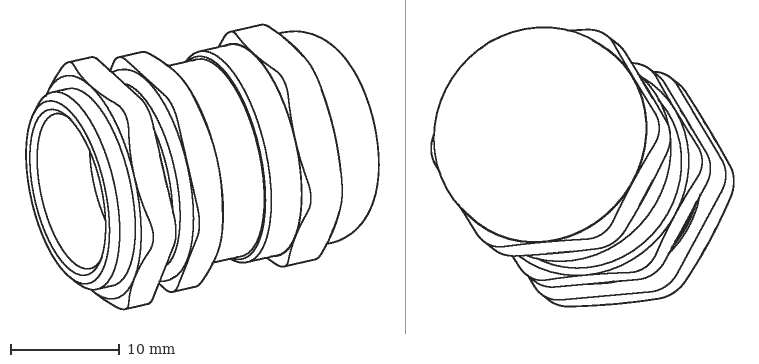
import cadquery as cq
import math

TOTAL_LENGTH = 28.56
FRONT_Y = -TOTAL_LENGTH / 2

THREAD_DIAMETER = 18.6
UNDERCUT_DIAMETER = 17.2
SEAL_DIAMETER = 19.9
BODY_DIAMETER = 18.6
CAP_DIAMETER = 19.9
BORE_DIAMETER = 14.6

LOCKNUT_START = 2.3
UNDERCUT_START = 6.5
SEAL_START = 7.0
BODY_HEX_START = 8.0
CAP_START = 15.56
CAP_HEX_START = 19.07
BORE_DEPTH = 5.9

LOCKNUT_ACROSS_FLATS = 21.0
LOCKNUT_THICKNESS = 3.0
WRENCH_ACROSS_FLATS = 20.0
BODY_HEX_THICKNESS = 3.0
CAP_HEX_THICKNESS = 4.0
HEX_CORNER_RADIUS = 3.0
NUT_BEVEL_ANGLE = 30.0
CAP_BEVEL_ANGLE = 20.0

CAP_CHAMFER = 0.4
DOME_RADIUS = 4.0
MOUTH_CHAMFER = 0.5


def cylinder(diameter, start, end):
    """Cylinder along Y between two stations measured from the front end."""
    plane = cq.Plane(origin=(0, FRONT_Y + start, 0), xDir=(1, 0, 0), normal=(0, 1, 0))
    return cq.Workplane(plane).circle(diameter / 2).extrude(end - start)


def revolve_profile(points):
    """Revolve a closed (radius, station) polygon about the Y axis."""
    profile = cq.Workplane("XY", origin=(0, FRONT_Y, 0)).polyline(points).close()
    return profile.revolve(360, (0, 0, 0), (0, 1, 0))


def hexagon(across_flats, start, thickness, bevel_angle, bevel_front, bevel_back):
    """Hexagon with rounded corners and flats facing +Z and -Z; chosen ends get a conical bevel."""
    end = start + thickness
    plane = cq.Plane(origin=(0, FRONT_Y + start, 0), xDir=(1, 0, 0), normal=(0, 1, 0))
    across_corners = across_flats / math.cos(math.pi / 6)
    prism = cq.Workplane(plane).polygon(6, across_corners).extrude(thickness)
    prism = prism.edges("|Y").fillet(HEX_CORNER_RADIUS)

    inner = across_flats / 2
    outer = across_corners / 2
    drop = (outer - inner) * math.tan(math.radians(bevel_angle))
    front_rim = [(inner, start), (outer, start + drop)] if bevel_front else [(outer, start)]
    back_rim = [(outer, end - drop), (inner, end)] if bevel_back else [(outer, end)]
    points = [(0, start)] + front_rim + back_rim + [(0, end)]
    return prism.intersect(revolve_profile(points))


def threaded_end():
    """Plain thread cylinder, chamfered down to the undercut diameter at both ends."""
    chamfer = (THREAD_DIAMETER - UNDERCUT_DIAMETER) / 2
    thread = cylinder(THREAD_DIAMETER, 0, UNDERCUT_START).edges().chamfer(chamfer)
    undercut = cylinder(UNDERCUT_DIAMETER, UNDERCUT_START, BODY_HEX_START)
    return thread.union(undercut)


def seal_ring():
    """O-ring of round section seated on the undercut, partly sunk into the body hexagon."""
    section_radius = (SEAL_DIAMETER - UNDERCUT_DIAMETER) / 4
    ring_radius = SEAL_DIAMETER / 2 - section_radius
    section = (
        cq.Workplane("XY", origin=(0, FRONT_Y, 0))
        .center(ring_radius, SEAL_START + section_radius)
        .circle(section_radius)
    )
    axis_start = (-ring_radius, 0)
    axis_end = (-ring_radius, 1)
    return section.revolve(360, axis_start, axis_end)


def domed_cap():
    """Cap with a rounded back edge and a chamfered front edge."""
    cap = cylinder(CAP_DIAMETER, CAP_START, TOTAL_LENGTH)
    cap = cap.faces(">Y").edges().fillet(DOME_RADIUS)
    return cap.faces("<Y").edges().chamfer(CAP_CHAMFER)


def bore():
    """Blind hole with a chamfered mouth."""
    return revolve_profile([
        (0, 0),
        (BORE_DIAMETER / 2 + MOUTH_CHAMFER, 0),
        (BORE_DIAMETER / 2, MOUTH_CHAMFER),
        (BORE_DIAMETER / 2, BORE_DEPTH),
        (0, BORE_DEPTH),
    ])


locknut = hexagon(LOCKNUT_ACROSS_FLATS, LOCKNUT_START, LOCKNUT_THICKNESS, NUT_BEVEL_ANGLE, True, False)
body_hex = hexagon(WRENCH_ACROSS_FLATS, BODY_HEX_START, BODY_HEX_THICKNESS, NUT_BEVEL_ANGLE, False, True)
cap_hex = hexagon(WRENCH_ACROSS_FLATS, CAP_HEX_START, CAP_HEX_THICKNESS, CAP_BEVEL_ANGLE, True, True)
body = cylinder(BODY_DIAMETER, BODY_HEX_START, CAP_START)

result = threaded_end().union(seal_ring()).union(body).union(domed_cap())
result = result.union(locknut).union(body_hex).union(cap_hex).cut(bore())